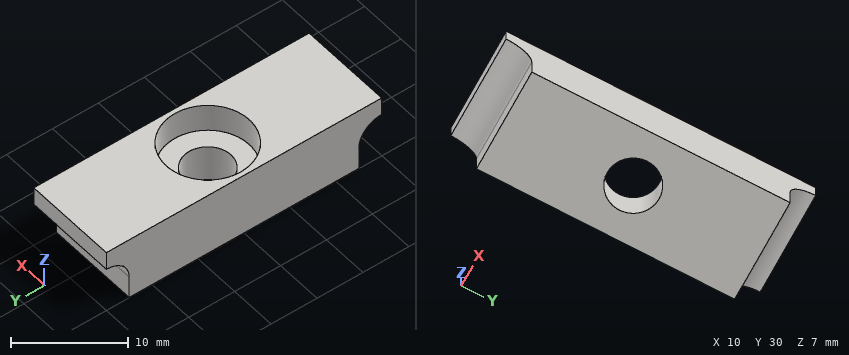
import cadquery as cq

length = 30.0
width = 10.0
height = 7.0

lip_thickness = 2.0
cove_radius = 2.5

hole_diameter = 5.0
counterbore_diameter = 9.0
counterbore_depth = 3.0


def make_block():
    """Block standing on Z = 0, centred on X and Y."""
    return cq.Workplane("XY").box(width, length, height, centered=(True, True, False))


def make_end_relief(end):
    """Material removed under the lip; end is +1 or -1 along Y."""
    outer_y = end * length / 2
    inner_y = end * (length / 2 - cove_radius)
    lip_bottom = height - lip_thickness
    cove_center_z = lip_bottom - cove_radius
    notch = (
        cq.Workplane("YZ")
        .moveTo(outer_y, 0)
        .lineTo(outer_y, lip_bottom)
        .radiusArc((inner_y, cove_center_z), -end * cove_radius)
        .lineTo(inner_y, 0)
        .close()
    )
    return notch.extrude(width / 2, both=True)


result = make_block()
for end in (-1, 1):
    result = result.cut(make_end_relief(end))

result = (
    result.faces(">Z")
    .workplane(centerOption="CenterOfBoundBox")
    .cboreHole(hole_diameter, counterbore_diameter, counterbore_depth)
)